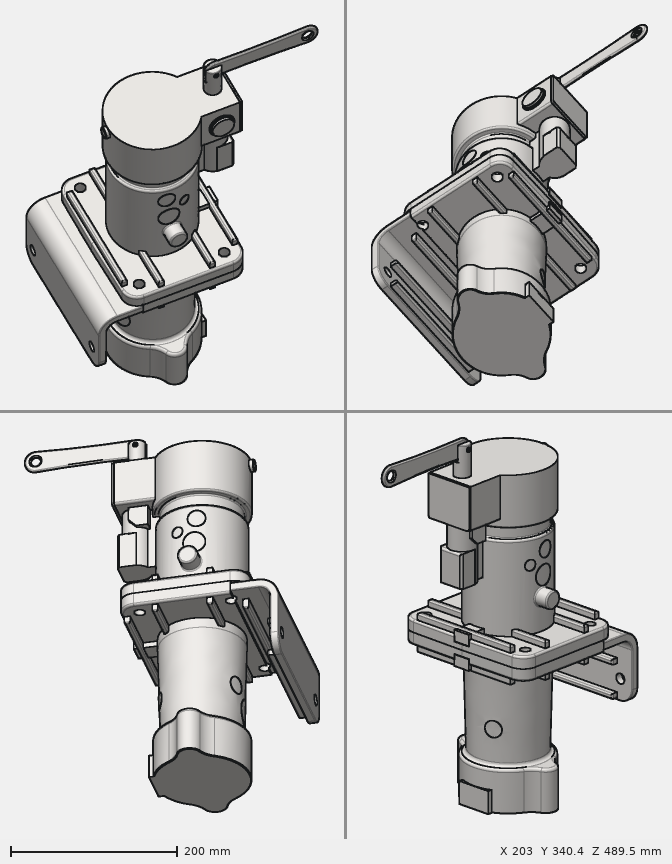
import cadquery as cq
import math


joint_z = 212.5
flange_thick = 16.5
flange_half_x = 101.5
flange_half_y = 79.5
flange_crown_y = 81.0
flange_corner_r = 20.0
flange_edge_r = 3.0
bolt_x = 82.2
bolt_y = 56.7
bolt_dia = 13.5

rib_height = 9.0
rib_width = 7.2
long_rib_half_x = 77.0
long_rib_y = 73.7
side_rib_y = 34.0
side_rib_end_x = 97.0
rib_top_r = 2.0
tab_width = 24.0
tab_end_y = 82.0
tab_height = 7.0

barrel_r = 54.0
barrel_foot_r = 51.0
barrel_taper_z = 183.0
foot_height = 58.0
foot_r = 59.5
foot_edge_r = 4.0
foot_base_chamfer = 1.0
barrel_foot_fillet = 5.0
ear_x = 62.0
ear_r = 15.5
ear_blend_r = 30.0
foot_pad_y = 60.3
foot_pad_width = 48.0
foot_pad_height = 30.0
port_raise = 0.4
lower_ports = [(281.2, 89.5, 39.0), (246.8, 114.5, 22.0), (113.2, 106.0, 22.0)]

bracket_top_z = 209.8
bracket_thick = 10.5
bracket_start_y = -60.5
bracket_face_y = -120.0
bracket_bottom_z = 113.5
bracket_bend_r = 25.0
bracket_corner_r = 20.0
bracket_edge_r = 1.2
bracket_hole_z = 142.4
bracket_rib_zs = (164.5, 120.0)

upper_r = 56.0
shoulder_z = 354.0
shoulder_edge_r = 3.0
neck_r = 51.0
neck_fillet = 1.8
trunnion_dia = 24.0
trunnion_half_x = 74.5
trunnion_z = 274.3
trunnion_edge_r = 2.0
trunnion_root_r = 1.5
upper_ports = [(187.1, 333.8, 22.0), (161.8, 318.9, 14.5), (184.0, 301.2, 27.5)]

head_bottom_z = 371.0
head_top_z = 440.0
head_r = 60.0
head_edge_r = 2.5
box_half_x = 34.0
box_back_y = 104.0
box_bottom_z = 381.6
box_edge = 3.0
box_plate_thick = 3.0
box_plate_inset = 0.4
plug_dia = 15.0
plug_end_y = -65.3
plug_z = 431.3
plug_chamfer = 1.0
cover_y = 76.2
cover_z = 410.0
cover_flange_dia = 33.0
cover_flange_thick = 2.0
cover_dia = 29.0
cover_end_x = 39.5

post_y = 80.5
valve_r = 18.5
valve_bottom_z = 302.0
web_width = 20.0
block_half_x = 18.7
block_back_y = 101.0
block_front_y = 77.5
block_top_z = 347.5
block_edge = 3.0
cheek_x = -22.0
cheek_back_y = 86.0
cheek_front_y = 62.0
cheek_bottom_z = 355.4
cheek_chamfer = 9.0

post_dia = 22.0
post_top_z = 482.3
post_edge_r = 1.0
slot_width = 6.0
slot_bottom_z = 459.5
pivot_z = 475.46
pin_dia = 6.0
pin_bore = 2.7
pin_length = 21.0
lever_thick = 4.5
lever_edge_r = 1.8
lever_eye_r = 14.0
lever_eye_y = 206.45
lever_hub_y = 82.0
lever_hub_r = 12.5
lever_waist = 12.0
lever_hole_dia = 12.0
lever_hole_chamfer = 1.8


def block(x0, x1, y0, y1, z0, z1):
    """Box between two opposite corners."""
    return cq.Workplane("XY").box(x1 - x0, y1 - y0, z1 - z0, centered=False).translate((x0, y0, z0))


def disc(r, z0, z1, x=0, y=0):
    """Upright cylinder between two heights."""
    return cq.Workplane("XY", origin=(x, y, z0)).circle(r).extrude(z1 - z0)


def cylinder_x(dia, x0, x1, y, z):
    """Cylinder along X."""
    return cq.Workplane("YZ", origin=(x0, y, z)).circle(dia / 2).extrude(x1 - x0)


def cylinder_y(dia, y0, y1, x, z):
    """Cylinder along Y, with y0 below y1."""
    return cq.Workplane("XZ", origin=(x, y1, z)).circle(dia / 2).extrude(y1 - y0)


def quarter_mid(centre, r, sx, sy):
    """Middle point of a quarter circle, in the quadrant given by the two signs."""
    reach = r * math.sqrt(0.5)
    return (centre[0] + sx * reach, centre[1] + sy * reach)


def radial_port(dia, heading, z):
    """Cylinder from the axis outwards, at an angle from +X about Z."""
    return cylinder_x(dia, 0, 2 * head_r, 0, z).rotate((0, 0, 0), (0, 0, 1), heading)


def flange_plate():
    """Upper flange: crowned plate with rounded corners and a rounded top edge, standing on the joint."""
    outline = [
        (-flange_half_x, -flange_half_y),
        (0, -flange_crown_y),
        (flange_half_x, -flange_half_y),
        (flange_half_x, flange_half_y),
        (0, flange_crown_y),
        (-flange_half_x, flange_half_y),
    ]
    plate = cq.Workplane("XY", origin=(0, 0, joint_z)).polyline(outline).close().extrude(flange_thick)
    corners = plate.edges("|Z and (>X or <X)").fillet(flange_corner_r)
    return corners.faces(">Z").edges().fillet(flange_edge_r)


def flange_ribs():
    """Ribs on the upper flange: two long ones, four side ones, and the tab at the back."""
    base_z = joint_z + flange_thick / 2
    top_z = joint_z + flange_thick + rib_height
    half = rib_width / 2
    ribs = disc(upper_r - 2 * rib_width, base_z, top_z)
    tab_top_z = joint_z + flange_thick + tab_height
    ribs = ribs.union(block(-tab_width / 2, tab_width / 2, 0, tab_end_y, base_z, tab_top_z))
    for side in (-1, 1):
        y = side * long_rib_y
        long_rib = block(-long_rib_half_x, long_rib_half_x, y - half, y + half, base_z, top_z)
        ribs = ribs.union(long_rib.faces(">Z").edges().fillet(rib_top_r))
        y = side * side_rib_y
        side_rib = block(-side_rib_end_x, side_rib_end_x, y - half, y + half, base_z, top_z)
        ribs = ribs.union(side_rib.faces(">Z").edges().fillet(rib_top_r))
    return ribs


def below_joint(shape):
    """Mirror image of a shape across the joint plane."""
    return shape.mirror("XY", (0, 0, joint_z))


def bolt_holes():
    """Four bolt clearance holes through both flanges."""
    corners = [(sx * bolt_x, sy * bolt_y) for sx in (-1, 1) for sy in (-1, 1)]
    start = cq.Workplane("XY", origin=(0, 0, joint_z - flange_thick - rib_height))
    return start.pushPoints(corners).circle(bolt_dia / 2).extrude(2 * (flange_thick + rib_height))


def foot():
    """Round foot with an ear at each side, blended by concave arcs, and a flat pad at the back."""
    to_foot = foot_r + ear_blend_r
    to_ear = ear_r + ear_blend_r
    blend_x = (to_foot**2 - to_ear**2 + ear_x**2) / (2 * ear_x)
    blend_y = math.sqrt(to_foot**2 - blend_x**2)
    on_foot = (blend_x * foot_r / to_foot, blend_y * foot_r / to_foot)
    on_ear = (ear_x + (blend_x - ear_x) * ear_r / to_ear, blend_y * ear_r / to_ear)
    mid_dx = (on_foot[0] + on_ear[0]) / 2 - blend_x
    mid_dy = (on_foot[1] + on_ear[1]) / 2 - blend_y
    reach = ear_blend_r / math.hypot(mid_dx, mid_dy)
    blend_mid = (blend_x + mid_dx * reach, blend_y + mid_dy * reach)

    def at(point, sx, sy):
        return (sx * point[0], sy * point[1])

    outline = (
        cq.Workplane("XY")
        .moveTo(*at(on_foot, -1, 1))
        .threePointArc((0, foot_r), on_foot)
        .threePointArc(blend_mid, on_ear)
        .threePointArc((ear_x + ear_r, 0), at(on_ear, 1, -1))
        .threePointArc(at(blend_mid, 1, -1), at(on_foot, 1, -1))
        .threePointArc((0, -foot_r), at(on_foot, -1, -1))
        .threePointArc(at(blend_mid, -1, -1), at(on_ear, -1, -1))
        .threePointArc((-ear_x - ear_r, 0), at(on_ear, -1, 1))
        .threePointArc(at(blend_mid, -1, 1), at(on_foot, -1, 1))
        .close()
    )
    body = outline.extrude(foot_height).faces(">Z").edges().fillet(foot_edge_r)
    body = body.faces("<Z").edges().chamfer(foot_base_chamfer)
    half = foot_pad_width / 2
    return body.union(block(-half, half, 0, foot_pad_y, 0, foot_pad_height))


def lower_barrel(raised=0.0):
    """Tapered barrel that flares into the foot, optionally grown outwards by a small amount."""
    waist_r = barrel_foot_r + raised
    top_r = barrel_r + raised
    flare = (waist_r + barrel_foot_fillet, foot_height + barrel_foot_fillet)
    return (
        cq.Workplane("XZ")
        .moveTo(0, foot_edge_r)
        .lineTo(flare[0], foot_edge_r)
        .lineTo(flare[0], foot_height)
        .threePointArc(quarter_mid(flare, barrel_foot_fillet, -1, -1), (waist_r, flare[1]))
        .lineTo(top_r, barrel_taper_z)
        .lineTo(top_r, joint_z)
        .lineTo(0, joint_z)
        .close()
        .revolve(360, (0, 0), (0, 1))
    )


def bracket():
    """Plate that runs forward from the flange and bends down, with two bolt holes and inner ribs."""
    inner_y = bracket_face_y + bracket_thick
    bend = (bracket_face_y + bracket_bend_r, bracket_top_z - bracket_bend_r)
    inner_r = bracket_bend_r - bracket_thick
    profile = (
        cq.Workplane("YZ", origin=(-flange_half_x, 0, 0))
        .moveTo(bracket_start_y, bracket_top_z)
        .lineTo(bend[0], bracket_top_z)
        .threePointArc(quarter_mid(bend, bracket_bend_r, -1, 1), (bracket_face_y, bend[1]))
        .lineTo(bracket_face_y, bracket_bottom_z)
        .lineTo(inner_y, bracket_bottom_z)
        .lineTo(inner_y, bend[1])
        .threePointArc(quarter_mid(bend, inner_r, -1, 1), (bend[0], bend[1] + inner_r))
        .lineTo(bracket_start_y, bracket_top_z - bracket_thick)
        .close()
    )
    plate = profile.extrude(2 * flange_half_x)
    plate = plate.faces("<Z").edges("|Y").fillet(bracket_corner_r)
    plate = plate.faces("<X or >X").edges("not(>Y)").fillet(bracket_edge_r)
    half = rib_width / 2
    for z in bracket_rib_zs:
        rib = block(-long_rib_half_x, long_rib_half_x, inner_y, inner_y + rib_height, z - half, z + half)
        plate = plate.union(rib.faces(">Y").edges().fillet(rib_top_r))
    for side in (-1, 1):
        hole = cylinder_y(bolt_dia, bracket_face_y, inner_y + rib_height, side * bolt_x, bracket_hole_z)
        plate = plate.cut(hole)
    return plate


def make_lower_housing():
    front = (-flange_half_x, flange_half_x, -2 * flange_half_y, bracket_start_y)
    flange = below_joint(flange_plate()).cut(block(*front, 0, joint_z))
    ribs = below_joint(flange_ribs()).cut(block(*front, bracket_top_z, joint_z))
    body = flange.union(ribs).union(bracket()).union(lower_barrel()).union(foot())
    for heading, z, dia in lower_ports:
        body = body.union(radial_port(dia, heading, z).intersect(lower_barrel(port_raise)))
    return body.cut(bolt_holes())


def upper_barrel():
    """Round body of the upper housing: barrel, rounded shoulder, neck and head."""
    rim = (upper_r - shoulder_edge_r, shoulder_z - shoulder_edge_r)
    neck_foot = (neck_r + neck_fillet, shoulder_z + neck_fillet)
    neck_top = (neck_r + neck_fillet, head_bottom_z - neck_fillet)
    head_rim = (head_r - head_edge_r, head_bottom_z + head_edge_r)
    return (
        cq.Workplane("XZ")
        .moveTo(0, joint_z)
        .lineTo(upper_r, joint_z)
        .lineTo(upper_r, rim[1])
        .threePointArc(quarter_mid(rim, shoulder_edge_r, 1, 1), (rim[0], shoulder_z))
        .lineTo(neck_foot[0], shoulder_z)
        .threePointArc(quarter_mid(neck_foot, neck_fillet, -1, -1), (neck_r, neck_foot[1]))
        .lineTo(neck_r, neck_top[1])
        .threePointArc(quarter_mid(neck_top, neck_fillet, -1, 1), (neck_top[0], head_bottom_z))
        .lineTo(head_rim[0], head_bottom_z)
        .threePointArc(quarter_mid(head_rim, head_edge_r, 1, -1), (head_r, head_rim[1]))
        .lineTo(head_r, head_top_z)
        .lineTo(0, head_top_z)
        .close()
        .revolve(360, (0, 0), (0, 1))
    )


def valve_body():
    """Valve cylinder under the box, with its square block, side cheek and web towards the housing."""
    valve = disc(valve_r, valve_bottom_z, cover_z, y=post_y)
    square = block(-block_half_x, block_half_x, block_front_y, block_back_y, valve_bottom_z, block_top_z)
    square = square.edges("|Z and >Y").chamfer(block_edge)
    valve = valve.union(square.faces(">Z").edges(">Y").fillet(block_edge))
    valve = valve.union(block(-web_width / 2, web_width / 2, 0, post_y, valve_bottom_z, cover_z))
    cheek = block(cheek_x, 0, cheek_front_y, cheek_back_y, cheek_bottom_z, cover_z)
    return valve.union(cheek.edges("|X and <Z and >Y").chamfer(cheek_chamfer))


def head_parts():
    """Everything the head adds to the round body: box with back plate, plug, side cover and valve body."""
    plate_y = box_back_y - box_plate_thick
    box = block(-box_half_x, box_half_x, 0, plate_y, box_bottom_z, head_top_z)
    half = box_half_x - box_plate_inset
    low_z = box_bottom_z + box_plate_inset
    plate = block(-half, half, plate_y, box_back_y, low_z, head_top_z - box_plate_inset)
    parts = box.faces("<Z").edges("|Y").fillet(box_edge)
    parts = parts.union(plate.edges("|Y and <Z").fillet(box_edge))
    plug = cylinder_y(plug_dia, plug_end_y, 0, 0, plug_z)
    parts = parts.union(plug.faces("<Y").edges().chamfer(plug_chamfer))
    parts = parts.union(cylinder_x(cover_flange_dia, 0, box_half_x + cover_flange_thick, cover_y, cover_z))
    parts = parts.union(cylinder_x(cover_dia, 0, cover_end_x, cover_y, cover_z))
    return parts.union(valve_body())


def make_upper_housing():
    body = upper_barrel()
    trunnions = cylinder_x(trunnion_dia, -trunnion_half_x, trunnion_half_x, 0, trunnion_z)
    body = body.union(trunnions.edges().fillet(trunnion_edge_r))
    for side in (-1, 1):
        root = cq.selectors.NearestToPointSelector((side * upper_r, 0, trunnion_z))
        body = body.edges(root).fillet(trunnion_root_r)
    body = body.union(flange_plate()).union(flange_ribs())
    for heading, z, dia in upper_ports:
        port = radial_port(dia, heading, z).intersect(disc(upper_r + port_raise, joint_z, shoulder_z))
        body = body.union(port).union(port.mirror("YZ"))
    return body.union(head_parts()).cut(bolt_holes())


def make_post():
    """Round post on top of the box, slotted for the lever and cross-drilled for its pin."""
    post = disc(post_dia / 2, head_top_z, post_top_z, y=post_y).faces(">Z").edges().fillet(post_edge_r)
    half = slot_width / 2
    post = post.cut(block(-half, half, post_y - post_dia, post_y + post_dia, slot_bottom_z, post_top_z))
    return post.cut(cylinder_x(pin_dia, -post_dia, post_dia, post_y, pivot_z))


def make_lever():
    """Flat lever with a slightly waisted arm between the hub and the eye."""
    middle_y = (lever_hub_y + lever_eye_y) / 2
    bar = (
        cq.Workplane("YZ", origin=(-lever_thick / 2, 0, 0))
        .moveTo(lever_hub_y, pivot_z + lever_hub_r)
        .threePointArc((middle_y, pivot_z + lever_waist), (lever_eye_y, pivot_z + lever_eye_r))
        .threePointArc((lever_eye_y + lever_eye_r, pivot_z), (lever_eye_y, pivot_z - lever_eye_r))
        .threePointArc((middle_y, pivot_z - lever_waist), (lever_hub_y, pivot_z - lever_hub_r))
        .threePointArc((lever_hub_y - lever_hub_r, pivot_z), (lever_hub_y, pivot_z + lever_hub_r))
        .close()
        .extrude(lever_thick)
    )
    bar = bar.faces("<X or >X").edges().fillet(lever_edge_r)
    eye = cylinder_x(lever_hole_dia, -lever_thick, lever_thick, lever_eye_y, pivot_z)
    bar = bar.cut(eye)
    rim = cq.selectors.RadiusNthSelector(0)
    bar = bar.faces("<X or >X").edges("%CIRCLE").edges(rim).chamfer(lever_hole_chamfer)
    return bar.cut(cylinder_x(pin_dia, -lever_thick, lever_thick, post_y, pivot_z))


def make_pin():
    """Hollow pivot pin through the post and the lever."""
    half = pin_length / 2
    tube = cylinder_x(pin_dia, -half, half, post_y, pivot_z)
    return tube.cut(cylinder_x(pin_bore, -half, half, post_y, pivot_z))


lower_housing = make_lower_housing()
upper_housing = make_upper_housing()
post = make_post()
lever = make_lever()
pin = make_pin()

bodies = [lower_housing, upper_housing, post, lever, pin]
result = cq.Compound.makeCompound([body.val() for body in bodies])